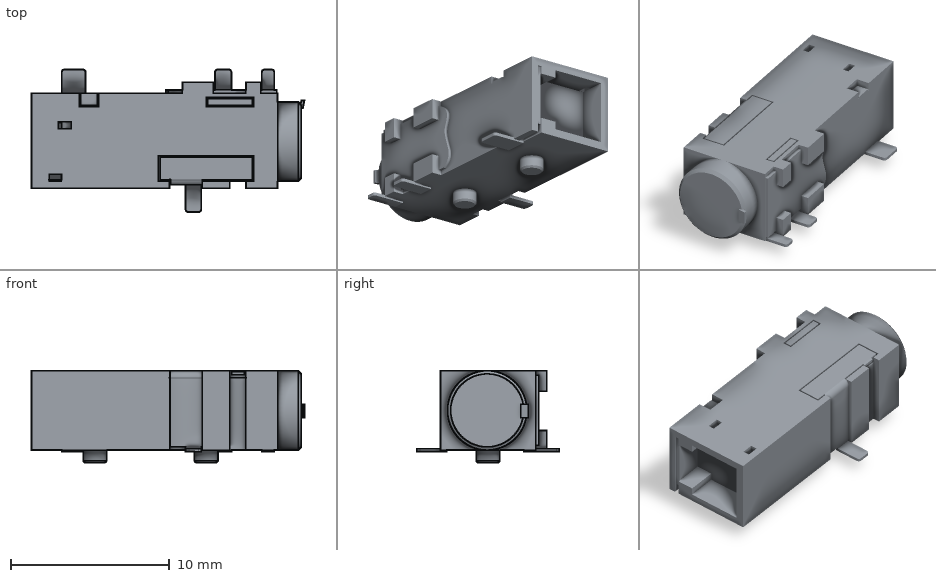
import cadquery as cq

BODY_LENGTH = 15.5
BODY_WIDTH = 6.0
BODY_HEIGHT = 5.0
WALL = 0.5
GAP = 0.1

POCKET_DEPTH = 1.9
POCKET_FRONT_Y = 0.55
POCKET_BACK_Y = 5.25
LEDGE_START_Y = 4.15
LEDGE_HEIGHT = 0.5
SLOT_BACK_Y = 5.55
SLOT_RECESS = 0.1
SLOT_NOTCH_HEIGHT = 0.6

ROOF_WINDOWS = [(1.7, 2.5, 3.77, 4.19), (1.12, 1.88, 0.45, 0.88)]

EDGE_NOTCH_X = (3.0, 4.25)
EDGE_NOTCH_Y = 5.13
EDGE_NOTCH_DEPTH = 0.5
EDGE_LUG_HEIGHT = 0.1

RAIL_SPANS = [(9.5, 11.45), (13.5, 14.45)]
RAIL_DEPTH = 0.7
LOWER_RAIL_TOP = 1.25
UPPER_RAIL_BOTTOM = 3.7

BACK_PLATE_END_X = 15.45
BACK_PLATE_THICKNESS = 0.2
BACK_PLATE_MARGIN = 0.3
BACK_PLATE_TOP_X = 9.6
BACK_PLATE_BOTTOM_X = 9.0
BACK_PLATE_WAVE = [(8.69, 3.4), (8.85, 2.95), (8.45, 1.1)]

PANEL_END_X = 14.0
FRONT_PANEL_X = 8.0
FRONT_PANEL_Y = (0.45, 2.05)
BACK_PANEL_X = 11.0
BACK_PANEL_Y = (5.13, 5.75)
GROOVE_DEPTH = 0.45

CONTACT_RECESS_X = (8.7, 10.75)
CONTACT_FACE_Y = 0.22
CONTACT_BOTTOM = 0.2
CONTACT_BEND_HEIGHT = 0.43
OPEN_RECESS_X = (12.5, 13.5)
STUB_MARGIN = 0.1
STUB_HEIGHT = 0.26
STUB_DROP = 0.08

TAB_THICKNESS = 0.2
TAB_CORNER = 0.2
BACK_TAB_END_Y = 7.5
FRONT_TAB_END_Y = -1.5
BACK_TAB_SPANS = [(1.9, 3.42), (11.55, 12.6), (14.5, 15.3)]
FRONT_TAB_SPAN = (9.7, 10.7)
FRONT_TAB_ROOT_Y = 0.4

PIN_DIAMETER = 1.5
PIN_LENGTH = 0.8
PIN_CHAMFER = 0.12
PIN_CENTERS = [(4.0, BODY_WIDTH / 2), (11.0, BODY_WIDTH / 2)]

BARREL_DIAMETER = 5.0
BARREL_LENGTH = 1.5
BARREL_Y = 2.95
BARREL_CHAMFER = 0.2
BARREL_END_X = BODY_LENGTH + BARREL_LENGTH

TIP_REACH = 0.2
TIP_Z = (2.03, 2.9)
TIP_Y = (5.05, 5.54)
TIP_ROOT = 0.15


def block(x_span, y_span, z_span):
    """Box between the given limits on each axis."""
    size = [span[1] - span[0] for span in (x_span, y_span, z_span)]
    corner = (x_span[0], y_span[0], z_span[0])
    return cq.Workplane("XY").box(*size, centered=False).translate(corner)


def cut_rear_pocket(body):
    pocket = block((0, POCKET_DEPTH), (POCKET_FRONT_Y, POCKET_BACK_Y), (WALL, BODY_HEIGHT - WALL))
    for bottom in (WALL, BODY_HEIGHT - WALL - LEDGE_HEIGHT):
        ledge = block((0, POCKET_DEPTH), (LEDGE_START_Y, POCKET_BACK_Y), (bottom, bottom + LEDGE_HEIGHT))
        pocket = pocket.cut(ledge)
    slot_y = (POCKET_BACK_Y, SLOT_BACK_Y)
    slot = block((0, SLOT_RECESS), slot_y, (0, BODY_HEIGHT - WALL))
    slot_notch = block((0, POCKET_DEPTH), slot_y, (0, SLOT_NOTCH_HEIGHT))
    return body.cut(pocket).cut(slot).cut(slot_notch)


def cut_roof_windows(body):
    for x0, x1, y0, y1 in ROOF_WINDOWS:
        body = body.cut(block((x0, x1), (y0, y1), (BODY_HEIGHT - WALL, BODY_HEIGHT)))
    return body


def cut_edge_notch(body):
    x0, x1 = EDGE_NOTCH_X
    floor = BODY_HEIGHT - EDGE_NOTCH_DEPTH
    notch = block(EDGE_NOTCH_X, (EDGE_NOTCH_Y, BODY_WIDTH), (floor, BODY_HEIGHT))
    lug = block((x0 + GAP, x1 - GAP), (EDGE_NOTCH_Y + GAP, BODY_WIDTH), (floor, floor + EDGE_LUG_HEIGHT))
    return body.cut(notch.cut(lug))


def cut_panel_groove(body, start_x, y_span):
    """Groove around a rectangular panel whose face stays flush with the roof."""
    z_span = (BODY_HEIGHT - GROOVE_DEPTH, BODY_HEIGHT)
    y0, y1 = y_span
    outer = block((start_x, PANEL_END_X), y_span, z_span)
    panel = block((start_x + GAP, PANEL_END_X - GAP), (y0 + GAP, y1 - GAP), z_span)
    return body.cut(outer.cut(panel))


def add_rails(body):
    for span in RAIL_SPANS:
        for z_span in ((0, LOWER_RAIL_TOP), (UPPER_RAIL_BOTTOM, BODY_HEIGHT)):
            body = body.union(block(span, (BODY_WIDTH, BODY_WIDTH + RAIL_DEPTH), z_span))
    return body


def add_back_plate(body):
    bottom = BACK_PLATE_MARGIN
    top = BODY_HEIGHT - BACK_PLATE_MARGIN
    plate = (
        cq.Workplane("XZ", origin=(0, BODY_WIDTH, 0))
        .moveTo(BACK_PLATE_END_X, top)
        .lineTo(BACK_PLATE_TOP_X, top)
        .spline(BACK_PLATE_WAVE + [(BACK_PLATE_BOTTOM_X, bottom)], includeCurrent=True)
        .lineTo(BACK_PLATE_END_X, bottom)
        .close()
        .extrude(-BACK_PLATE_THICKNESS)
    )
    return body.union(plate)


def add_front_contact(body):
    """Recess filled by a contact strip that bends over into the front roof panel."""
    x0, x1 = CONTACT_RECESS_X
    panel_edge = FRONT_PANEL_Y[0] + GAP
    strip = (
        cq.Workplane("YZ", origin=(x0 + GAP / 2, 0, 0))
        .moveTo(panel_edge, CONTACT_BOTTOM)
        .lineTo(CONTACT_FACE_Y, CONTACT_BOTTOM)
        .lineTo(CONTACT_FACE_Y, BODY_HEIGHT - CONTACT_BEND_HEIGHT)
        .tangentArcPoint((panel_edge, BODY_HEIGHT), relative=False)
        .close()
        .extrude(x1 - x0 - GAP / 2)
    )
    leg = block(FRONT_TAB_SPAN, (CONTACT_FACE_Y, FRONT_TAB_ROOT_Y), (0, CONTACT_BOTTOM))
    recess = block(CONTACT_RECESS_X, (0, panel_edge), (0, BODY_HEIGHT))
    return body.cut(recess).union(strip).union(leg)


def add_open_recess(body):
    """Recess that opens the panel groove, with a sloping contact stub at its top."""
    x0, x1 = OPEN_RECESS_X
    groove_edge = FRONT_PANEL_Y[0]
    panel_edge = groove_edge + GAP
    stub = (
        cq.Workplane("YZ", origin=(x0 + STUB_MARGIN, 0, 0))
        .moveTo(panel_edge, BODY_HEIGHT)
        .lineTo(groove_edge, BODY_HEIGHT - STUB_DROP)
        .lineTo(groove_edge, BODY_HEIGHT - STUB_HEIGHT)
        .lineTo(panel_edge, BODY_HEIGHT - STUB_HEIGHT)
        .close()
        .extrude(x1 - x0 - 2 * STUB_MARGIN)
    )
    return body.cut(block(OPEN_RECESS_X, (0, groove_edge), (0, BODY_HEIGHT))).union(stub)


def solder_tab(x_span, y_span, tip_selector):
    z_span = (-TAB_THICKNESS / 2, TAB_THICKNESS / 2)
    return block(x_span, y_span, z_span).edges("|Z").edges(tip_selector).fillet(TAB_CORNER)


def add_solder_tabs(body):
    for span in BACK_TAB_SPANS:
        body = body.union(solder_tab(span, (POCKET_BACK_Y, BACK_TAB_END_Y), ">Y"))
    return body.union(solder_tab(FRONT_TAB_SPAN, (FRONT_TAB_END_Y, FRONT_TAB_ROOT_Y), "<Y"))


def add_pins(body):
    pins = (
        cq.Workplane("XY")
        .pushPoints(PIN_CENTERS)
        .circle(PIN_DIAMETER / 2)
        .extrude(-PIN_LENGTH)
        .faces("<Z")
        .chamfer(PIN_CHAMFER)
    )
    return body.union(pins)


def add_barrel(body):
    barrel = (
        cq.Workplane("YZ", origin=(BODY_LENGTH, BARREL_Y, BODY_HEIGHT / 2))
        .circle(BARREL_DIAMETER / 2)
        .extrude(BARREL_LENGTH)
        .faces(">X")
        .chamfer(BARREL_CHAMFER)
    )
    return body.union(barrel)


def add_contact_tip(body):
    """Small bent contact end resting on the rim of the barrel."""
    y0, y1 = TIP_Y
    tip_end = BARREL_END_X + TIP_REACH
    tip = (
        cq.Workplane("XY", origin=(0, 0, TIP_Z[0]))
        .moveTo(BARREL_END_X - TIP_ROOT, y0)
        .lineTo(BARREL_END_X, y1)
        .lineTo(tip_end, y1)
        .lineTo(BARREL_END_X + TIP_REACH / 2, y0)
        .close()
        .extrude(TIP_Z[1] - TIP_Z[0])
    )
    return body.union(tip)


housing = block((0, BODY_LENGTH), (0, BODY_WIDTH), (0, BODY_HEIGHT))
housing = cut_rear_pocket(housing)
housing = cut_roof_windows(housing)
housing = cut_edge_notch(housing)
housing = cut_panel_groove(housing, FRONT_PANEL_X, FRONT_PANEL_Y)
housing = cut_panel_groove(housing, BACK_PANEL_X, BACK_PANEL_Y)
housing = add_rails(housing)
housing = add_back_plate(housing)
housing = add_front_contact(housing)
housing = add_open_recess(housing)
housing = add_solder_tabs(housing)
housing = add_pins(housing)
housing = add_barrel(housing)
result = add_contact_tip(housing)